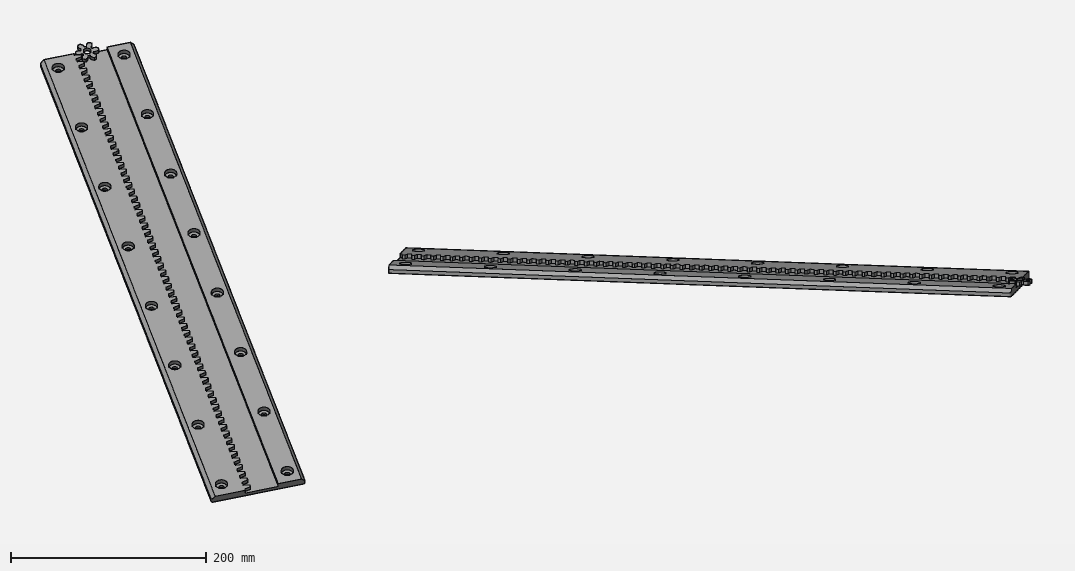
import cadquery as cq
import math

PLATE_LENGTH = 650.0
PLATE_WIDTH = 100.0
EDGE_BEVEL_WIDTH = 4.0
EDGE_BEVEL_HEIGHT = 4.05
CORNER_RADIUS = 2.0

CHANNEL_FLOOR = 4.0
CHANNEL_DEPTH = 4.05
CHANNEL_WALL_Y = 21.0
PLATE_THICKNESS = CHANNEL_FLOOR + CHANNEL_DEPTH

HOLES_PER_ROW = 8
HOLE_SPAN = 620.0
HOLE_ROW_SPACING = 70.0
HOLE_DIAMETER = 5.5
COUNTERBORE_DIAMETER = 12.5
COUNTERBORE_DEPTH = 4.95

RACK_PITCHES = 65
PITCH = PLATE_LENGTH / RACK_PITCHES
RACK_TIP_WIDTH = 2.5
RACK_ROOT_GAP = 4.05
RACK_TIP_Y = -7.0
RACK_ROOT_Y = -14.0

PINION_TEETH = 6
PINION_BORE = 8.0
PINION_TIP_DIAMETER = 24.5
PINION_ROOT_DIAMETER = 13.0
TOOTH_TIP_WIDTH = 3.0
TOOTH_PITCH_WIDTH = 5.7
TOOTH_ROOT_WIDTH = 4.5
PITCH_RADIUS = PITCH * PINION_TEETH / (2 * math.pi)


def polar(radius, angle):
    return (radius * math.cos(angle), radius * math.sin(angle))


def plate_blank():
    """Bar with bevelled long edges and rounded vertical corners."""
    half = PLATE_WIDTH / 2
    shoulder = PLATE_THICKNESS - EDGE_BEVEL_HEIGHT
    section = [
        (-half, 0),
        (half, 0),
        (half, shoulder),
        (half - EDGE_BEVEL_WIDTH, PLATE_THICKNESS),
        (EDGE_BEVEL_WIDTH - half, PLATE_THICKNESS),
        (-half, shoulder),
    ]
    bar = cq.Workplane("YZ").polyline(section).close().extrude(PLATE_LENGTH)
    footprint = (
        cq.Workplane("XY")
        .rect(PLATE_LENGTH, PLATE_WIDTH)
        .extrude(PLATE_THICKNESS)
        .edges("|Z")
        .fillet(CORNER_RADIUS)
        .translate((PLATE_LENGTH / 2, 0, 0))
    )
    return bar.intersect(footprint)


def channel():
    """Channel space between the straight wall and the tips of the rack."""
    return (
        cq.Workplane("XY", origin=(0, 0, CHANNEL_FLOOR))
        .moveTo(0, RACK_TIP_Y)
        .lineTo(PLATE_LENGTH, RACK_TIP_Y)
        .lineTo(PLATE_LENGTH, CHANNEL_WALL_Y)
        .lineTo(0, CHANNEL_WALL_Y)
        .close()
        .extrude(PLATE_THICKNESS)
    )


def rack_gaps():
    """Trapezoidal spaces between the rack teeth; the first one is centred on the pinion."""
    tip_half = (PITCH - RACK_TIP_WIDTH) / 2
    root_half = RACK_ROOT_GAP / 2
    gaps = cq.Workplane("XY", origin=(0, 0, CHANNEL_FLOOR))
    for i in range(RACK_PITCHES + 1):
        x = i * PITCH
        gaps = gaps.polyline([
            (x - tip_half, RACK_TIP_Y),
            (x - root_half, RACK_ROOT_Y),
            (x + root_half, RACK_ROOT_Y),
            (x + tip_half, RACK_TIP_Y),
        ]).close()
    return gaps.extrude(PLATE_THICKNESS)


def make_rack_plate():
    hole_pitch = HOLE_SPAN / (HOLES_PER_ROW - 1)
    return (
        plate_blank()
        .cut(channel())
        .cut(rack_gaps())
        .faces(">Z")
        .workplane(origin=(PLATE_LENGTH / 2, 0, PLATE_THICKNESS))
        .rarray(hole_pitch, HOLE_ROW_SPACING, HOLES_PER_ROW, 2)
        .cboreHole(HOLE_DIAMETER, COUNTERBORE_DIAMETER, COUNTERBORE_DEPTH)
    )


def half_angle(width, radius):
    """Half the angle that a tooth of the given width spans at a radius."""
    return math.asin(width / (2 * radius))


def make_pinion():
    tip_radius = PINION_TIP_DIAMETER / 2
    root_radius = PINION_ROOT_DIAMETER / 2
    at_tip = half_angle(TOOTH_TIP_WIDTH, tip_radius)
    at_pitch = half_angle(TOOTH_PITCH_WIDTH, PITCH_RADIUS)
    at_root = half_angle(TOOTH_ROOT_WIDTH, root_radius)
    tooth_angle = 2 * math.pi / PINION_TEETH
    first_tooth = -math.pi / 2

    outline = cq.Workplane("XY", origin=(0, 0, CHANNEL_FLOOR))
    outline = outline.moveTo(*polar(root_radius, first_tooth - at_root))
    for i in range(PINION_TEETH):
        tooth = first_tooth + i * tooth_angle
        gap = tooth + tooth_angle / 2
        next_tooth = tooth + tooth_angle
        outline = (
            outline.threePointArc(polar(PITCH_RADIUS, tooth - at_pitch), polar(tip_radius, tooth - at_tip))
            .threePointArc(polar(tip_radius, tooth), polar(tip_radius, tooth + at_tip))
            .threePointArc(polar(PITCH_RADIUS, tooth + at_pitch), polar(root_radius, tooth + at_root))
            .threePointArc(polar(root_radius, gap), polar(root_radius, next_tooth - at_root))
        )
    blank = outline.close().extrude(CHANNEL_DEPTH)
    bore = cq.Workplane("XY").circle(PINION_BORE / 2).extrude(PLATE_THICKNESS)
    return blank.cut(bore)


rack_plate = make_rack_plate()
pinion = make_pinion()

result = cq.Compound.makeCompound([rack_plate.val(), pinion.val()])